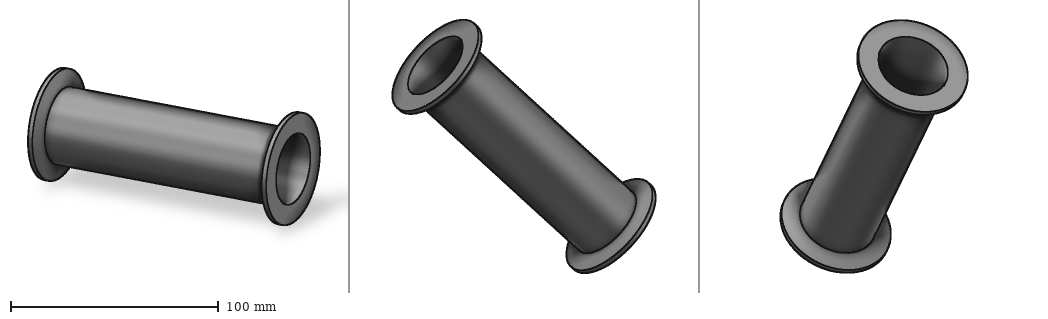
import cadquery as cq
import math

length = 130.0
bore_diameter = 35.0
tube_diameter = 38.1
flange_diameter = 55.0

rim_width = 2.5
cone_angle = 15.0

tube_radius = tube_diameter / 2
flange_radius = flange_diameter / 2
cone_width = (flange_radius - tube_radius) * math.tan(math.radians(cone_angle))


def make_flange():
    """Solid clamp flange with its flat face at X = 0 and its cone toward +X."""
    flange_width = rim_width + cone_width
    half_section = (
        cq.Workplane("XY")
        .lineTo(0, flange_radius)
        .lineTo(rim_width, flange_radius)
        .lineTo(flange_width, tube_radius)
        .lineTo(flange_width, 0)
        .close()
    )
    return half_section.revolve(360, (0, 0, 0), (1, 0, 0))


tube = cq.Workplane("YZ").circle(tube_radius).extrude(length / 2, both=True)

left_flange = make_flange().translate((-length / 2, 0, 0))
right_flange = left_flange.mirror("YZ")

bore = cq.Workplane("YZ").circle(bore_diameter / 2).extrude(length / 2, both=True)

result = tube.union(left_flange).union(right_flange).cut(bore)